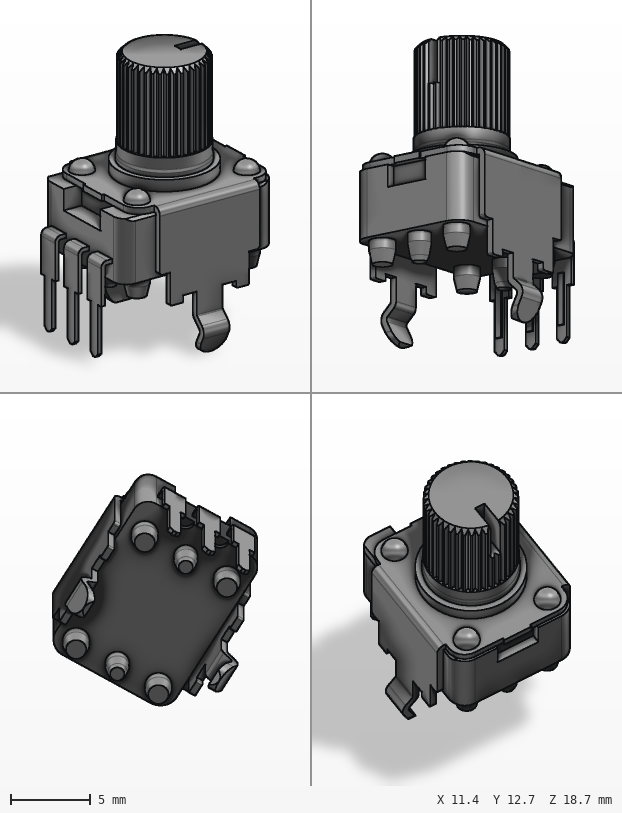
import cadquery as cq
import math


body_half_width = 4.4
body_front = -6.3
body_back = 5.5
body_bottom = -4.9
body_front_corner = 1.0
body_back_corner = 1.2
body_side_bevel = 0.2
pocket_height = 1.45
front_pocket_width = 4.0
front_pocket_depth = 1.38
back_pocket_width = 3.01
back_pocket_depth = 0.6
scallop_height = 0.45
scallop_radius = 0.62

sheet = 0.45
plate_half_width = 4.3
plate_half_length = 5.33
plate_corner = 1.2
plate_tab_width = 2.02
plate_tab_reach = body_back
cover_half_width = 4.94
bend_inner = 0.05
side_half_length = 3.81
side_bottom = -4.55
side_corner = 0.19
foot_outer = 3.01
foot_inner = 2.02
foot_bottom = -6.8
foot_corner = 0.11
foot_gap_top = -6.32

leg_half_width = 1.0
leg_knee_z = -8.02
knee_inner = 0.11
toe_inner = 0.26
leg_toe_x = 5.6
leg_toe_z = -8.85
leg_end_x = 4.71
leg_bottom = -10.62
leg_tip_height = 0.9

rivet_x = 3.0
rivet_y = 4.2
rivet_radius = 0.85
rivet_head_height = 0.75
peg_shoulder_z = -5.54
peg_end_z = -6.41
peg_end_radius = 0.64
pilot_radius = 0.75
pilot_shoulder_radius = 0.6
pilot_end_z = -6.75
pilot_end_radius = 0.45

terminal_pitch = 2.5
terminal_sheet = 0.3
terminal_top = -3.38
terminal_front = -7.15
terminal_bend_inner = 0.15
terminal_wide = 1.53
terminal_narrow = 0.8
terminal_step_z = -6.43
terminal_end_z = -10.08
terminal_tip_bevel = 0.28
rib_width = 0.45
rib_depth = 0.13
rib_top = -5.61
rib_bottom = -8.98

bushing_radius = 3.5
bushing_top = 0.8
flange_radius = 3.09
flange_top = 1.1
collar_radius = 3.03
collar_bottom = 1.3
spline_bottom = 2.1
shaft_top = 8.08
spline_tip_radius = 3.0
spline_root_radius = 2.71
spline_teeth = 40
groove_share = 0.7
shaft_bevel = 0.34
slot_width = 0.7
slot_floor = 5.1
slot_inner_y = 1.03


def block(x_size, y_min, y_max, z_min, z_max):
    """Box centred on X = 0 between the given Y and Z limits."""
    return (
        cq.Workplane("XY", origin=(0, 0, z_min))
        .center(0, (y_min + y_max) / 2)
        .rect(x_size, y_max - y_min)
        .extrude(z_max - z_min)
    )


def revolved(profile):
    """Solid of revolution about Z from (radius, z) points."""
    return cq.Workplane("XZ").polyline(profile).close().revolve(360, (0, 0), (0, 1))


def make_body():
    body_top = -sheet
    body = block(2 * body_half_width, body_front, body_back, body_bottom, body_top)
    body = body.faces(">Z").edges("|Y").chamfer(body_side_bevel)
    rounded = block(2 * body_half_width, body_front, body_back, body_bottom, body_top)
    rounded = rounded.faces("<Y").edges("|Z").fillet(body_front_corner)
    rounded = rounded.faces(">Y").edges("|Z").fillet(body_back_corner)
    body = body.intersect(rounded)

    pocket_floor = body_top - pocket_height
    front_pocket_end = body_front + front_pocket_depth
    back_pocket_end = body_back - back_pocket_depth
    body = body.cut(block(front_pocket_width, body_front, front_pocket_end, pocket_floor, body_top))
    body = body.cut(block(back_pocket_width, back_pocket_end, body_back, pocket_floor, body_top))

    scallops = (
        cq.Workplane("XY", origin=(0, body_front, body_bottom))
        .pushPoints([(-terminal_pitch / 2, 0), (terminal_pitch / 2, 0)])
        .circle(scallop_radius)
        .extrude(scallop_height)
    )
    return body.cut(scallops)


def make_plate():
    plate = block(2 * plate_half_width, -plate_half_length, plate_half_length, -sheet, 0)
    plate = plate.edges("|Z").fillet(plate_corner)
    return plate.union(block(plate_tab_width, -plate_tab_reach, plate_tab_reach, -sheet, 0))


def bent_strip(points, inner_radii, thickness, width):
    """Sheet strip of the given width along Y that follows (x, z) mid-line points, one radius per bend."""
    corners = [cq.Vector(x, 0, z) for x, z in points]
    path = cq.Wire.makePolygon(corners)
    for corner, inner_radius in zip(corners[1:-1], inner_radii):
        vertex = min(path.Vertices(), key=lambda v: (v.Center() - corner).Length)
        path = path.fillet(inner_radius + thickness / 2, [vertex])
    start = cq.Workplane("YZ", origin=(points[0][0], 0, points[0][1]))
    return start.rect(width, thickness).sweep(cq.Workplane(obj=path))


def side_block(half_width, bottom):
    """Block on +X, mirrored about Z = 0, that trims the cover side to a width and a lower edge."""
    return cq.Workplane("YZ").rect(2 * half_width, -2 * bottom).extrude(2 * cover_half_width)


def make_cover_side():
    """Cover side on +X: half of the flat top, the bent-down wall, its two feet and the spring leg."""
    wall_x = cover_half_width - sheet / 2
    tuck = math.atan2(leg_toe_x - leg_end_x, leg_toe_z - leg_bottom)
    leg_end_z = leg_bottom + sheet / 2 * math.sin(tuck)
    mid_line = [
        (0, -sheet / 2),
        (wall_x, -sheet / 2),
        (wall_x, leg_knee_z),
        (leg_toe_x, leg_toe_z),
        (leg_end_x, leg_end_z),
    ]
    strip = bent_strip(mid_line, [bend_inner, knee_inner, toe_inner], sheet, 2 * side_half_length)

    wall = side_block(side_half_length, side_bottom).edges("|X").fillet(side_corner)
    feet = side_block(foot_outer, foot_bottom)
    feet = feet.cut(side_block(foot_inner, foot_bottom)).edges("|X").fillet(foot_corner)
    bridge = side_block(foot_outer, foot_gap_top)
    leg_arc_z = leg_bottom + leg_tip_height
    leg = (
        cq.Workplane("YZ")
        .moveTo(-leg_half_width, 0)
        .lineTo(-leg_half_width, leg_arc_z)
        .threePointArc((0, leg_bottom), (leg_half_width, leg_arc_z))
        .lineTo(leg_half_width, 0)
        .close()
        .extrude(2 * cover_half_width)
    )
    return strip.intersect(wall.union(feet).union(bridge).union(leg))


def make_rivet_heads():
    dome_radius = (rivet_radius**2 + rivet_head_height**2) / (2 * rivet_head_height)
    dome = cq.Workplane("XY").sphere(dome_radius)
    dome = dome.translate((0, 0, rivet_head_height - dome_radius))
    heads = cq.Workplane("XY")
    for x in (-rivet_x, rivet_x):
        for y in (-rivet_y, rivet_y):
            heads = heads.union(dome.translate((x, y, 0)))
    return heads.intersect(block(2 * cover_half_width, body_front, body_back, -sheet, rivet_head_height))


def make_pegs():
    """Short tapered pegs under the rivets, and a longer one with a pilot tip between each pair."""
    short_peg = revolved(
        [
            (0, body_bottom),
            (rivet_radius, body_bottom),
            (rivet_radius, peg_shoulder_z),
            (peg_end_radius, peg_end_z),
            (0, peg_end_z),
        ]
    )
    long_peg = revolved(
        [
            (0, body_bottom),
            (pilot_radius, body_bottom),
            (pilot_radius, peg_shoulder_z),
            (pilot_shoulder_radius, peg_end_z),
            (pilot_end_radius, pilot_end_z),
            (0, pilot_end_z),
        ]
    )
    pegs = cq.Workplane("XY")
    for y in (-rivet_y, rivet_y):
        pegs = pegs.union(long_peg.translate((0, y, 0)))
        for x in (-rivet_x, rivet_x):
            pegs = pegs.union(short_peg.translate((x, y, 0)))
    return pegs


def make_terminal():
    """Terminal at X = 0: a strip bent down in front of the body, stepped narrower and bevelled at the tip."""
    front_mid = -terminal_front - terminal_sheet / 2
    top_mid = terminal_top - terminal_sheet / 2
    mid_line = [(0, top_mid), (front_mid, top_mid), (front_mid, terminal_end_z)]
    strip = bent_strip(mid_line, [terminal_bend_inner], terminal_sheet, terminal_wide)
    strip = strip.rotate((0, 0, 0), (0, 0, 1), -90)

    wide_part = block(terminal_wide, terminal_front, body_front, terminal_step_z, terminal_top)
    pin = block(terminal_narrow, terminal_front, body_front, terminal_end_z, terminal_top)
    pin = pin.faces("<Z").edges("|Y").chamfer(terminal_tip_bevel)
    rib_front = terminal_front + terminal_sheet
    rib = block(rib_width, rib_front, rib_front + rib_depth, rib_bottom, rib_top)
    return strip.intersect(wide_part.union(pin)).union(rib)


def make_shaft():
    base = revolved(
        [
            (0, -sheet),
            (bushing_radius, -sheet),
            (bushing_radius, bushing_top),
            (flange_radius, bushing_top),
            (flange_radius, flange_top),
            (collar_radius, collar_bottom),
            (collar_radius, spline_bottom),
            (0, spline_bottom),
        ]
    )

    pitch = 2 * math.pi / spline_teeth
    half_groove = groove_share * pitch / 2
    spline_points = []
    for tooth in range(spline_teeth):
        middle = tooth * pitch - math.pi / 2
        for offset, radius in (
            (-half_groove, spline_tip_radius),
            (0, spline_root_radius),
            (half_groove, spline_tip_radius),
        ):
            angle = middle + offset
            spline_points.append((radius * math.cos(angle), radius * math.sin(angle)))
    spline_length = shaft_top - spline_bottom
    spline = cq.Workplane("XY", origin=(0, 0, spline_bottom)).polyline(spline_points).close()
    envelope = cq.Workplane("XY", origin=(0, 0, spline_bottom)).circle(spline_tip_radius)
    envelope = envelope.extrude(spline_length).faces(">Z").chamfer(shaft_bevel)
    spline = spline.extrude(spline_length).intersect(envelope)

    slot = block(slot_width, slot_inner_y, spline_tip_radius, slot_floor, shaft_top)
    return base.union(spline.cut(slot))


result = make_body().union(make_plate())
cover_side = make_cover_side()
result = result.union(cover_side).union(cover_side.mirror("YZ"))
result = result.union(make_rivet_heads()).union(make_pegs())
terminal = make_terminal()
for position in (-1, 0, 1):
    result = result.union(terminal.translate((position * terminal_pitch, 0, 0)))
result = result.union(make_shaft())